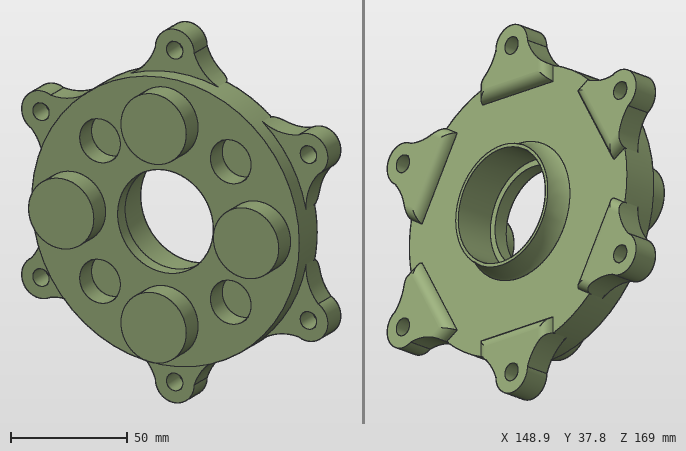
import cadquery as cq
import math

disc_front = 11.0
lug_front = 19.6
disc_back = 27.7
lug_back = 31.8
hub_back = 37.8

disc_radius = 65.0
hub_radius = 27.5
hub_flare_radius = 16.5
lip_diameter = 46.5
lip_depth = 7.0
bore_diameter = 52.0

pattern_radius = 45.0
pin_diameter = 31.8
blind_hole_diameter = 19.8
blind_hole_depth = 11.0

lug_count = 6
tip_reach = 84.5
tip_radius = 9.5
mount_hole_diameter = 8.0
mount_hole_radius = tip_reach - tip_radius
lug_inner = 54.0
lug_half_width = 21.1
flank_radius = 23.7
pad_fillet = 5.0


def cylinder(diameter, start, end, x=0.0, z=0.0):
    """Cylinder along +Y between two axial positions."""
    plane = cq.Workplane("XZ", origin=(x, start, z))
    return plane.circle(diameter / 2).extrude(start - end)


def on_circle(radius, angle):
    """X and Z of a point on a circle about the part axis."""
    theta = math.radians(angle)
    return radius * math.cos(theta), radius * math.sin(theta)


def make_hub():
    """Hub at the back of the disc, flaring towards the disc along a concave arc."""
    height = hub_back - disc_back
    flare = hub_flare_radius - math.sqrt(hub_flare_radius**2 - height**2)
    profile = (
        cq.Workplane("XY")
        .moveTo(0, disc_back)
        .lineTo(hub_radius + flare, disc_back)
        .radiusArc((hub_radius, hub_back), hub_flare_radius)
        .lineTo(0, hub_back)
        .close()
    )
    return profile.revolve(360, (0, 0, 0), (0, 1, 0))


def make_lug():
    """Lug pointing along +Z: a round tip with concave flanks, rounded on its inner back edges."""
    root = math.sqrt(disc_radius**2 - lug_half_width**2)
    outline = (
        cq.Workplane("XZ", origin=(0, lug_front, 0))
        .moveTo(-lug_half_width, lug_inner)
        .lineTo(-lug_half_width, root)
        .radiusArc((-tip_radius, mount_hole_radius), -flank_radius)
        .threePointArc((0, tip_reach), (tip_radius, mount_hole_radius))
        .radiusArc((lug_half_width, root), -flank_radius)
        .lineTo(lug_half_width, lug_inner)
        .close()
        .extrude(lug_front - lug_back)
    )
    block = (
        cq.Workplane("XY")
        .box(2 * lug_half_width, lug_back - lug_front, tip_reach - lug_inner + pad_fillet,
             centered=(True, False, False))
        .translate((0, lug_front, lug_inner))
        .faces(">Y")
        .edges("<X or >X or <Z")
        .fillet(pad_fillet)
    )
    mount_hole = cylinder(mount_hole_diameter, lug_front, lug_back, z=mount_hole_radius)
    return outline.intersect(block).cut(mount_hole)


result = cylinder(2 * disc_radius, disc_front, disc_back).union(make_hub())

lug = make_lug()
for index in range(lug_count):
    result = result.union(lug.rotate((0, 0, 0), (0, 1, 0), index * 360 / lug_count))

hole_end = disc_front + blind_hole_depth
for angle in range(0, 360, 90):
    pin_x, pin_z = on_circle(pattern_radius, angle)
    result = result.union(cylinder(pin_diameter, 0, disc_front, pin_x, pin_z))
    hole_x, hole_z = on_circle(pattern_radius, angle + 45)
    result = result.cut(cylinder(blind_hole_diameter, disc_front, hole_end, hole_x, hole_z))

lip_end = disc_front + lip_depth
result = result.cut(cylinder(lip_diameter, disc_front, lip_end))
result = result.cut(cylinder(bore_diameter, lip_end, hub_back))